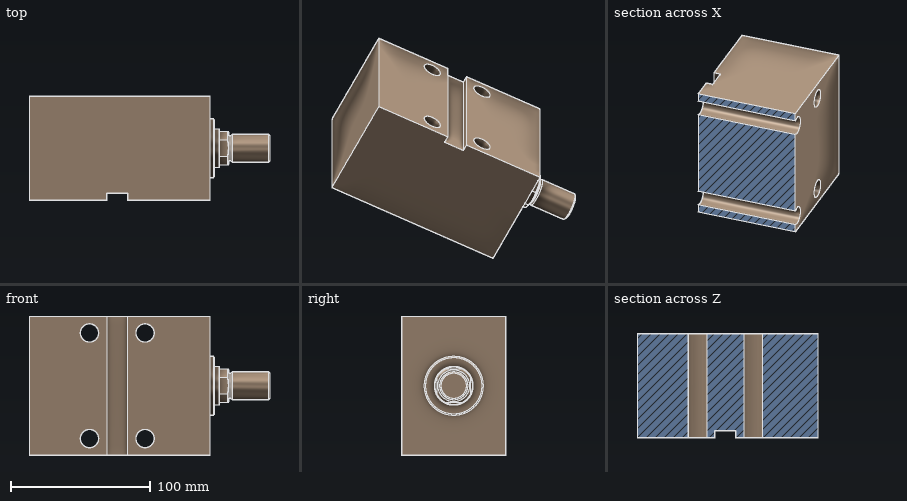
import cadquery as cq

LENGTH = 173.0
BLOCK_LENGTH = 130.0
BLOCK_DEPTH = 75.0
BLOCK_HEIGHT = 100.0

HOLE_DIAMETER = 13.0
HOLE_SPACING_X = 40.0
HOLE_SPACING_Z = 76.0
SLOT_CENTRE_X = 63.1
SLOT_WIDTH = 15.0
SLOT_DEPTH = 5.0

GLAND_DIAMETER = 42.5
GLAND_THICKNESS = 3.3
GLAND_CHAMFER = 1.0

COLLAR_DIAMETER = 28.0
COLLAR_END_X = 136.8
COLLAR_CHAMFER = 0.5
ROD_END_X = 143.5
WRENCH_DIAMETER = COLLAR_DIAMETER - 2 * COLLAR_CHAMFER
WRENCH_ACROSS_FLATS = 24.4
ROD_RIM_DIAMETER = 22.8
ROD_RIM_CHAMFER_LENGTH = 1.0

NECK_DIAMETER = 18.2
NECK_LENGTH = 1.4
STUD_DIAMETER = 20.2
STUD_NECK_CHAMFER = (STUD_DIAMETER - NECK_DIAMETER) / 2
STUD_TIP_CHAMFER = 1.0


def revolve_about_x(profile):
    """Turn a closed list of (x, radius) points about the X axis."""
    return cq.Workplane("XY").polyline(profile).close().revolve(360, (0, 0, 0), (1, 0, 0))


def make_housing():
    """Block with four through holes along Y and a key slot down its -Y face."""
    block = cq.Workplane("XY").box(BLOCK_LENGTH, BLOCK_DEPTH, BLOCK_HEIGHT, centered=(False, True, True))
    holes = (
        cq.Workplane("XZ", origin=(SLOT_CENTRE_X, 0, 0))
        .rarray(HOLE_SPACING_X, HOLE_SPACING_Z, 2, 2)
        .circle(HOLE_DIAMETER / 2)
        .extrude(BLOCK_DEPTH, both=True)
    )
    slot = cq.Workplane("XY").box(SLOT_WIDTH, 2 * SLOT_DEPTH, BLOCK_HEIGHT)
    slot = slot.translate((SLOT_CENTRE_X, -BLOCK_DEPTH / 2, 0))
    return block.cut(holes).cut(slot)


def make_gland():
    """Chamfered ring around the rod, seated on the housing face."""
    return (
        cq.Workplane("YZ", origin=(BLOCK_LENGTH, 0, 0))
        .circle(GLAND_DIAMETER / 2)
        .extrude(GLAND_THICKNESS)
        .faces(">X")
        .edges()
        .chamfer(GLAND_CHAMFER)
        .faces(">X")
        .workplane()
        .hole(COLLAR_DIAMETER)
    )


def make_rod():
    """Rod passing through the gland, with four wrench flats at its end."""
    collar_radius = COLLAR_DIAMETER / 2
    wrench_radius = WRENCH_DIAMETER / 2
    rod = revolve_about_x([
        (BLOCK_LENGTH, 0),
        (BLOCK_LENGTH, collar_radius),
        (COLLAR_END_X - COLLAR_CHAMFER, collar_radius),
        (COLLAR_END_X, wrench_radius),
        (ROD_END_X - ROD_RIM_CHAMFER_LENGTH, wrench_radius),
        (ROD_END_X, ROD_RIM_DIAMETER / 2),
        (ROD_END_X, 0),
    ])
    wrench_length = ROD_END_X - COLLAR_END_X
    flats_start = cq.Workplane("YZ", origin=(COLLAR_END_X, 0, 0))
    outside_flats = (
        flats_start.rect(2 * COLLAR_DIAMETER, 2 * COLLAR_DIAMETER)
        .rect(WRENCH_ACROSS_FLATS, WRENCH_ACROSS_FLATS)
        .extrude(wrench_length)
    )
    return rod.cut(outside_flats)


def make_stud():
    """Stud with a narrow neck at the rod and a chamfered tip."""
    neck_radius = NECK_DIAMETER / 2
    stud_radius = STUD_DIAMETER / 2
    neck_end_x = ROD_END_X + NECK_LENGTH
    return revolve_about_x([
        (ROD_END_X, 0),
        (ROD_END_X, neck_radius),
        (neck_end_x, neck_radius),
        (neck_end_x + STUD_NECK_CHAMFER, stud_radius),
        (LENGTH - STUD_TIP_CHAMFER, stud_radius),
        (LENGTH, stud_radius - STUD_TIP_CHAMFER),
        (LENGTH, 0),
    ])


housing = make_housing()
gland = make_gland()
rod = make_rod()
stud = make_stud()

result = cq.Compound.makeCompound([housing.val(), gland.val(), rod.val(), stud.val()])